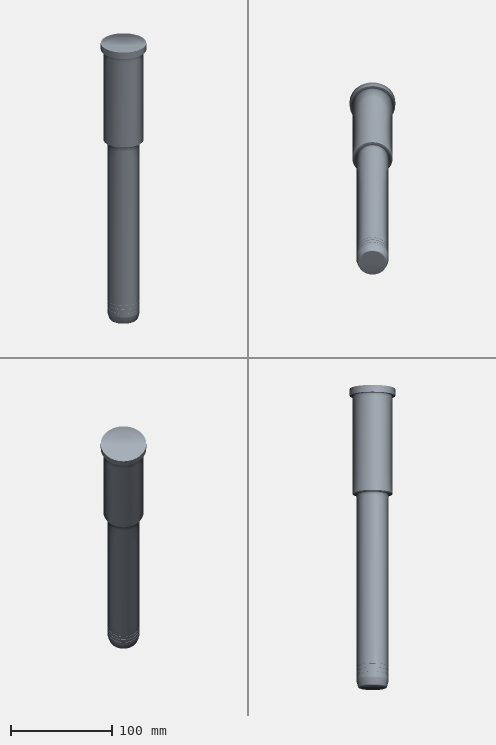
import cadquery as cq

total_length = 300.0

head_diameter = 45.0
head_thickness = 7.0

shank_diameter = 40.0
shank_end_depth = 106.0
shank_chamfer = 1.0

relief_width = 1.0
relief_depth = 0.3

pin_diameter = 32.0

nose_length = 8.0
nose_tip_diameter = 28.5
nose_bulge = 0.3
tip_chamfer = 0.5

groove_count = 3
groove_pitch = 4.2
groove_width = 1.0
groove_depth = 0.3
lowest_groove_height = 12.5

head_radius = head_diameter / 2
shank_radius = shank_diameter / 2
pin_radius = pin_diameter / 2
nose_tip_radius = nose_tip_diameter / 2
head_bottom = total_length - head_thickness
shank_bottom = total_length - shank_end_depth


def make_body():
    """Revolve the half profile (radius, height) about the Z axis."""
    nose_middle_radius = (nose_tip_radius + pin_radius) / 2 + nose_bulge
    nose_middle_height = (tip_chamfer + nose_length) / 2
    profile = (
        cq.Workplane("XZ")
        .moveTo(0, 0)
        .lineTo(nose_tip_radius - tip_chamfer, 0)
        .lineTo(nose_tip_radius, tip_chamfer)
        .threePointArc((nose_middle_radius, nose_middle_height), (pin_radius, nose_length))
        .lineTo(pin_radius, shank_bottom)
        .lineTo(shank_radius - shank_chamfer, shank_bottom)
        .lineTo(shank_radius, shank_bottom + shank_chamfer)
        .lineTo(shank_radius, head_bottom)
        .lineTo(head_radius, head_bottom)
        .lineTo(head_radius, total_length)
        .lineTo(0, total_length)
        .close()
    )
    return profile.revolve(360, (0, 0, 0), (0, 1, 0))


def make_groove_cutter(surface_radius, depth, bottom, width):
    """Ring that cuts a shallow groove into a cylindrical surface."""
    return (
        cq.Workplane("XY")
        .workplane(offset=bottom)
        .circle(surface_radius + depth)
        .circle(surface_radius - depth)
        .extrude(width)
    )


result = make_body()

for radius, shoulder_height in ((shank_radius, head_bottom), (pin_radius, shank_bottom)):
    relief_bottom = shoulder_height - relief_width
    result = result.cut(make_groove_cutter(radius, relief_depth, relief_bottom, relief_width))

for index in range(groove_count):
    groove_bottom = lowest_groove_height - groove_width / 2 + index * groove_pitch
    result = result.cut(make_groove_cutter(pin_radius, groove_depth, groove_bottom, groove_width))